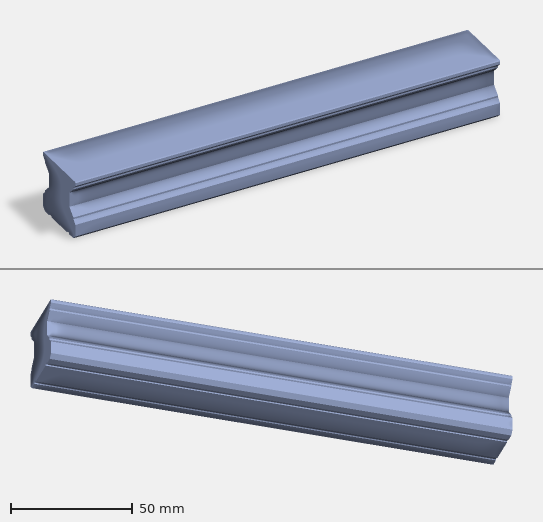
import cadquery as cq

length = 200
width = 28
height = 28
half_width = width / 2

top_chamfer = 0.5
base_chamfer = 1.8

raceway_z = 16.8
neck_half_width = 8.8
neck_half_height = 3.5
flank_width = 3.5
step_height = 0.8
mouth_half_height = 9.5

relief_inner_x = 6.5
relief_outer_x = 8.5
relief_depth = 0.5

plug_count = 5
plug_pitch = 40
plug_diameter = 14
plug_depth = 2


def half_profile():
    """Right half of the rail section, listed from the base centre up to the top."""
    flank_x = neck_half_width + flank_width
    flank_rise = neck_half_height + flank_width
    step_rise = flank_rise + step_height
    upper_raceway = [
        (neck_half_width, raceway_z + neck_half_height),
        (flank_x, raceway_z + flank_rise),
        (flank_x, raceway_z + step_rise),
        (half_width, raceway_z + mouth_half_height),
    ]
    lower_raceway = [(x, 2 * raceway_z - z) for x, z in reversed(upper_raceway)]
    underside = [
        (relief_inner_x, 0),
        (relief_inner_x, relief_depth),
        (relief_outer_x, relief_depth),
        (relief_outer_x, 0),
        (half_width - base_chamfer, 0),
        (half_width, base_chamfer),
    ]
    top_edge = [
        (half_width, height - top_chamfer),
        (half_width - top_chamfer, height),
    ]
    return underside + lower_raceway + upper_raceway + top_edge


def make_rail():
    """Extrude the symmetric section along the rail length."""
    right_side = half_profile()
    left_side = [(-x, z) for x, z in reversed(right_side)]
    section = cq.Workplane("XZ").polyline(right_side + left_side).close()
    return section.extrude(length / 2, both=True)


def make_plugs():
    """Row of cylinders whose tops are flush with the rail top."""
    return (
        cq.Workplane("XY", origin=(0, 0, height - plug_depth))
        .rarray(2, plug_pitch, 1, plug_count)
        .circle(plug_diameter / 2)
        .extrude(plug_depth)
    )


rail = make_rail()
plugs = make_plugs()

result = rail.cut(plugs).union(plugs, clean=False)